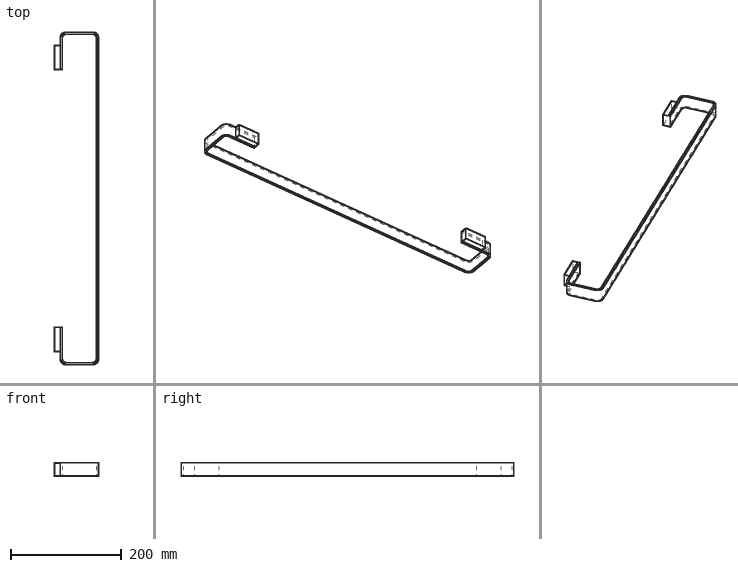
import cadquery as cq

length = 600.0
depth = 80.0
height = 24.5

strip_thickness = 4.0
outer_bend_radius = 11.5
inner_bend_radius = outer_bend_radius - strip_thickness
end_return = 68.0

pad_thickness = 10.0
pad_length = 44.0
pad_height = 24.0

half_length = length / 2
pad_face_x = -depth / 2
strip_back_x = pad_face_x + pad_thickness
strip_width = depth - pad_thickness
strip_center_x = strip_back_x + strip_width / 2
end_tip_y = half_length - end_return


def rounded_prism(size_x, size_y, radius):
    """Upright block centred on the strip, with rounded vertical edges."""
    return (
        cq.Workplane("XY")
        .center(strip_center_x, 0)
        .box(size_x, size_y, height)
        .edges("|Z")
        .fillet(radius)
    )


def bent_strip():
    """Rounded rectangular loop, opened between the two in-turned ends."""
    outer = rounded_prism(strip_width, length, outer_bend_radius)
    inner = rounded_prism(
        strip_width - 2 * strip_thickness,
        length - 2 * strip_thickness,
        inner_bend_radius,
    )
    opening = (
        cq.Workplane("XY")
        .center(strip_back_x + strip_thickness / 2, 0)
        .box(2 * strip_thickness, 2 * end_tip_y, height)
    )
    return outer.cut(inner).cut(opening)


def pad(side):
    """Pad flush with the tip of one end; side is +1 or -1 along Y."""
    center_y = side * (end_tip_y + pad_length / 2)
    return (
        cq.Workplane("XY")
        .center(pad_face_x + pad_thickness / 2, center_y)
        .box(pad_thickness, pad_length, pad_height)
    )


result = bent_strip()
for side in (-1, 1):
    result = result.union(pad(side))